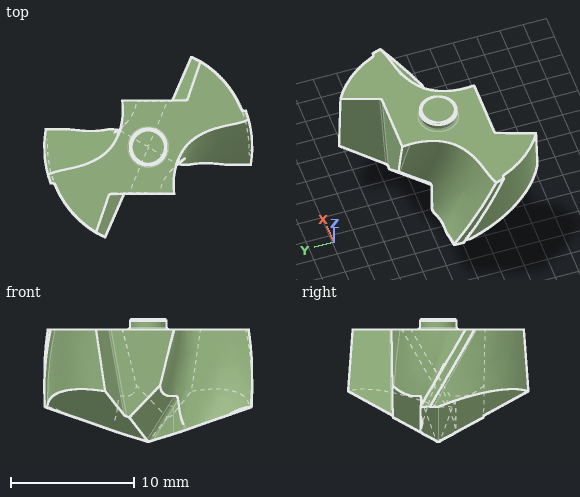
import cadquery as cq
import math

TIP_DEPTH = 9.14
MARGIN_RADIUS = 8.45
LAND_START_RADIUS = 8.18
LAND_END_RADIUS = 8.10
TWIST_PER_MM = 4.0
HALF_TURN = 180
STOCK_BELOW_TIP = 0.5
CUTTER_SIZE = 40.0

MARGIN_START_ANGLE = 15.2
MARGIN_END_ANGLE = 20.5
STEP_FOOT_ANGLE = 21.1
LAND_START_ANGLE = 22.4
STEP_FOOT_RISE = 0.06
FLUTE_MIDDLE = [(7.11, 1.90), (5.6, 1.56), (4.12, 0.94), (3.07, 0.08), (2.30, -1.39)]
FLUTE_TAIL = (2.07, -3.1)
FLUTE_EXIT_ANGLE = -73.0

POINT_SLOPE = 0.349
PRIMARY_RELIEF_SLOPE = 0.07
SECONDARY_RELIEF_SLOPE = 0.395

SLOT_WALL_Y = 3.79
STRAIGHT_WALL_NORMAL = (0, -1, -0.015)
SLOT_CORNER_X = 3.16
SLANTED_WALL_NORMAL = (16.03, -5.49, 2.78)
SLOT_CORNER_FILLET = 0.2

GASH_WALL_BEND = (2.06, -1.22)
GASH_BEND_END = (2.9, -1.45)
GASH_FLOOR_NORMAL = (-10.1, 9.53, 9.85)
GASH_FILLET = 0.35
GASH_REACH = 3

PIN_RADIUS = 1.5
PIN_HEIGHT = 0.82
PIN_CHAMFER = 0.14
PIN_BASE_FILLET = 0.15

TIP = cq.Vector(0, 0, -TIP_DEPTH)


def polar(radius, angle):
    radians = math.radians(angle)
    return (radius * math.cos(radians), radius * math.sin(radians))


def turned_over(points):
    """The same points half a turn around the Z axis."""
    return [(-x, -y) for x, y in points]


def half_turn(shape):
    return shape.rotate((0, 0, 0), (0, 0, 1), HALF_TURN)


def block_along(origin, normal):
    """A large block standing on the plane through origin and reaching along normal."""
    plane = cq.Plane(origin=origin, normal=normal)
    return cq.Workplane(plane).rect(CUTTER_SIZE, CUTTER_SIZE).extrude(CUTTER_SIZE)


def fluted_section():
    """Two equal halves, each with a margin, a step, a land and the flute that follows the land."""
    margin_start = polar(MARGIN_RADIUS, MARGIN_START_ANGLE)
    margin_middle = polar(MARGIN_RADIUS, (MARGIN_START_ANGLE + MARGIN_END_ANGLE) / 2)
    margin_end = polar(MARGIN_RADIUS, MARGIN_END_ANGLE)
    step_foot = polar(LAND_START_RADIUS + STEP_FOOT_RISE, STEP_FOOT_ANGLE)
    land_start = polar(LAND_START_RADIUS, LAND_START_ANGLE)
    land_end_angle = FLUTE_EXIT_ANGLE + HALF_TURN
    land_middle_radius = (LAND_START_RADIUS + LAND_END_RADIUS) / 2
    land_middle = polar(land_middle_radius, (LAND_START_ANGLE + land_end_angle) / 2)
    land_end = polar(LAND_END_RADIUS, land_end_angle)
    flute = [FLUTE_TAIL] + FLUTE_MIDDLE[::-1] + [margin_start]
    half = [margin_middle, margin_end, step_foot, land_start, land_middle, land_end]

    outline = cq.Workplane("XY").moveTo(*margin_start)
    for points, next_flute in ((half, turned_over(flute)), (turned_over(half), flute)):
        for middle, end in zip(points[::2], points[1::2]):
            outline = outline.threePointArc(middle, end)
        outline = outline.lineTo(*next_flute[0]).spline(next_flute[1:], includeCurrent=True)
    return outline.close()


def fluted_body():
    depth = TIP_DEPTH + STOCK_BELOW_TIP
    twist = TWIST_PER_MM * depth
    body = fluted_section().twistExtrude(depth, twist)
    return body.rotate((0, 0, 0), (0, 0, 1), -twist).translate((0, 0, -depth))


def cut_twice(body, cutter):
    return body.cut(cutter).cut(half_turn(cutter))


def flank_cutter(relief_slope):
    return block_along(TIP, cq.Vector(POINT_SLOPE, relief_slope, -1))


def slot_cutter():
    corner = cq.Vector(-SLOT_CORNER_X, -SLOT_WALL_Y, 0)
    beside_slanted_wall = block_along(corner, cq.Vector(SLANTED_WALL_NORMAL))
    outside_straight_wall = block_along(corner, cq.Vector(STRAIGHT_WALL_NORMAL))
    cutter = beside_slanted_wall.intersect(outside_straight_wall)
    corner_edge = cq.NearestToPointSelector(corner.toTuple())
    return cutter.edges(corner_edge).fillet(SLOT_CORNER_FILLET)


def gash_cutter():
    bend_x, bend_y = GASH_WALL_BEND
    far_behind_tip = (-bend_x * GASH_REACH, -bend_y * GASH_REACH)
    far_along_wall = (CUTTER_SIZE, GASH_BEND_END[1])
    prism = (
        cq.Workplane("XY", origin=(0, 0, -CUTTER_SIZE))
        .moveTo(*far_behind_tip)
        .lineTo(*GASH_WALL_BEND)
        .tangentArcPoint(GASH_BEND_END, relative=False)
        .lineTo(*far_along_wall)
        .lineTo(CUTTER_SIZE, -CUTTER_SIZE)
        .lineTo(-CUTTER_SIZE, -CUTTER_SIZE)
        .close()
        .extrude(2 * CUTTER_SIZE)
    )
    below_floor = block_along(TIP, cq.Vector(GASH_FLOOR_NORMAL) * -1)
    groove_edge = cq.NearestToPointSelector(TIP.toTuple())
    return prism.intersect(below_floor).edges(groove_edge).fillet(GASH_FILLET)


def locating_pin():
    pin = cq.Workplane("XY").circle(PIN_RADIUS).extrude(PIN_HEIGHT)
    return pin.faces(">Z").chamfer(PIN_CHAMFER)


def fillet_pin_base(body):
    base_edge = cq.NearestToPointSelector((0, 0, 0))
    return body.edges(base_edge).fillet(PIN_BASE_FILLET)


result = fluted_body()
for slope in (PRIMARY_RELIEF_SLOPE, SECONDARY_RELIEF_SLOPE):
    result = cut_twice(result, flank_cutter(slope))
result = cut_twice(result, slot_cutter())
result = cut_twice(result, gash_cutter())
result = fillet_pin_base(result.union(locating_pin()))